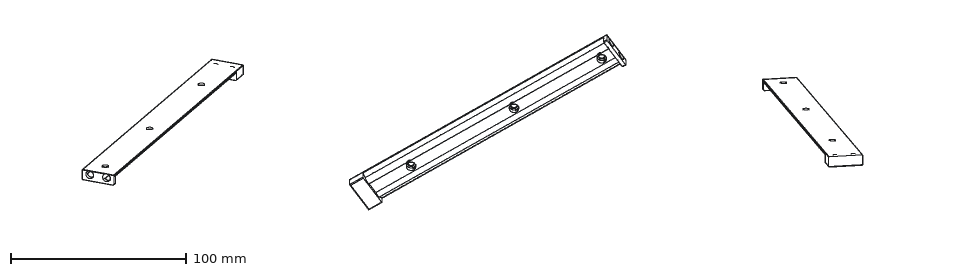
import cadquery as cq

length = 175.5
width = 20.0
height = 6.3
top_chamfer = 0.26
bottom_chamfer = 0.5

front_foot_length = 2.3
rear_foot_length = 9.1
span_length = length - front_foot_length - rear_foot_length

span_thickness = 4.0
span_edge_thickness = 1.2
flank_radius = 15.0

bore_diameter = 4.7
bore_spacing = 10.5
bore_axis_depth = 2.5
bore_length = length - rear_foot_length / 2

screw_hole_diameter = 3.7
head_recess_diameter = 5.5
head_seat_depth = 1.2
screw_hole_positions = (10.0, 69.8, 140.0)


def make_bar():
    """Full-height bar with chamfered long edges, front top edge and rear bottom edge."""
    bar = cq.Workplane("XY").box(width, length, height, centered=(True, False, False))
    bar = bar.translate((0, 0, -height))
    bar = bar.faces(">Z").edges("|Y or <Y").chamfer(top_chamfer)
    return bar.faces("<Z").edges("|Y or >Y").chamfer(bottom_chamfer)


def make_span_relief():
    """Material below the span: everything under its flat underside and outside its flanks."""
    flank_rise = (flank_radius**2 - (width / 2) ** 2) ** 0.5
    flank_center_height = flank_rise - span_edge_thickness
    clearance = cq.Workplane("XY").box(width, span_length, height, centered=(True, False, False))
    clearance = clearance.translate((0, front_foot_length, -height))
    core = (
        cq.Workplane("XZ", origin=(0, front_foot_length, flank_center_height))
        .circle(flank_radius)
        .extrude(-span_length)
    )
    slab = cq.Workplane("XY").box(width, span_length, span_thickness, centered=(True, False, False))
    slab = slab.translate((0, front_foot_length, -span_thickness))
    return clearance.cut(core.intersect(slab))


def make_bores():
    """Pair of parallel blind bores that break out through the underside of the span."""
    return (
        cq.Workplane("XZ", origin=(0, 0, -bore_axis_depth))
        .pushPoints([(-bore_spacing / 2, 0), (bore_spacing / 2, 0)])
        .circle(bore_diameter / 2)
        .extrude(-bore_length)
    )


def make_screw_holes():
    """Row of vertical through holes on the centre line, widened below the head seat."""
    hole_centers = [(0, y) for y in screw_hole_positions]
    shanks = cq.Workplane("XY").pushPoints(hole_centers).circle(screw_hole_diameter / 2).extrude(-height)
    heads = (
        cq.Workplane("XY", origin=(0, 0, -head_seat_depth))
        .pushPoints(hole_centers)
        .circle(head_recess_diameter / 2)
        .extrude(-height)
    )
    return shanks.union(heads)


result = make_bar().cut(make_span_relief()).cut(make_bores()).cut(make_screw_holes())